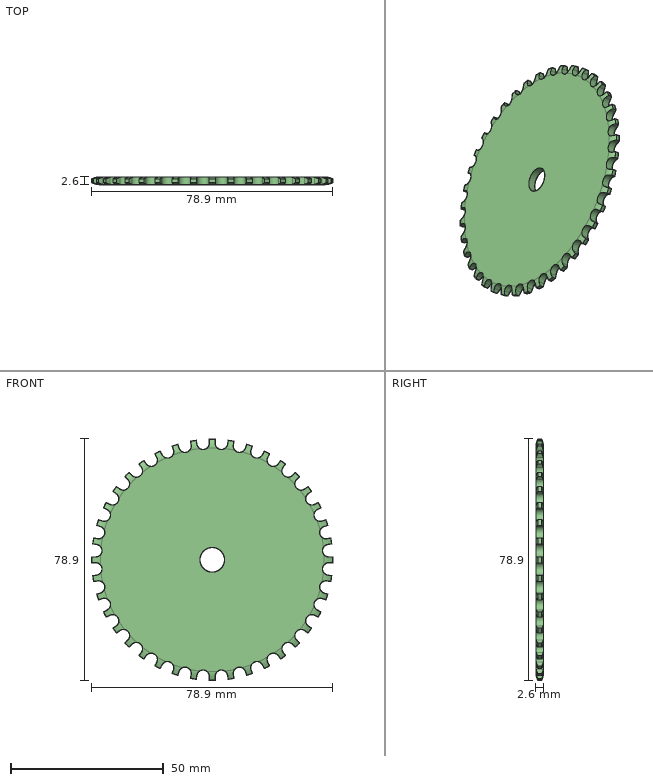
import cadquery as cq
import math

outer_diameter = 78.9
thickness = 2.6
bore_diameter = 8.0
tooth_count = 40
seat_diameter = 4.0
root_radius = 36.2
rim_start_radius = 36.6
tip_thickness = 1.3

outer_radius = outer_diameter / 2
half_thickness = thickness / 2
half_tip = tip_thickness / 2
tooth_pitch_angle = 360 / tooth_count
seat_radius = seat_diameter / 2
seat_center_radius = root_radius + seat_radius
cutter_length = 2 * thickness


def make_blank():
    """Disc about the Y axis whose rim narrows along arcs tangent to both flat faces."""
    rim_width = outer_radius - rim_start_radius
    rim_drop = half_thickness - half_tip
    rim_arc_radius = (rim_width**2 + rim_drop**2) / (2 * rim_drop)
    mid_radius = rim_start_radius + rim_width / 2
    mid_drop = rim_arc_radius - math.sqrt(rim_arc_radius**2 - (rim_width / 2) ** 2)
    mid_y = half_thickness - mid_drop
    return (
        cq.Workplane("XY")
        .moveTo(0, -half_thickness)
        .lineTo(rim_start_radius, -half_thickness)
        .threePointArc((mid_radius, -mid_y), (outer_radius, -half_tip))
        .lineTo(outer_radius, half_tip)
        .threePointArc((mid_radius, mid_y), (rim_start_radius, half_thickness))
        .lineTo(0, half_thickness)
        .close()
        .revolve(360, (0, 0, 0), (0, 1, 0))
    )


def start_cutter():
    """Sketch plane behind the disc, from which cutters extrude forwards along -Y."""
    return cq.Workplane("XZ", origin=(0, thickness, 0))


def make_tooth_gap(angle):
    """Roller seat, open at the rim, whose straight sides run parallel to the two neighbouring teeth."""
    lean = math.radians(tooth_pitch_angle / 2)
    tangent_x = seat_center_radius - seat_radius * math.sin(lean)
    tangent_z = seat_radius * math.cos(lean)
    open_x = outer_radius + seat_radius
    open_z = tangent_z + (open_x - tangent_x) * math.tan(lean)
    return (
        start_cutter()
        .moveTo(open_x, -open_z)
        .lineTo(tangent_x, -tangent_z)
        .threePointArc((root_radius, 0), (tangent_x, tangent_z))
        .lineTo(open_x, open_z)
        .close()
        .extrude(cutter_length)
        .rotate((0, 0, 0), (0, 1, 0), angle)
    )


bore = start_cutter().circle(bore_diameter / 2).extrude(cutter_length)
result = make_blank().cut(bore)

for gap_index in range(tooth_count):
    gap_angle = (gap_index + 0.5) * tooth_pitch_angle
    result = result.cut(make_tooth_gap(gap_angle))